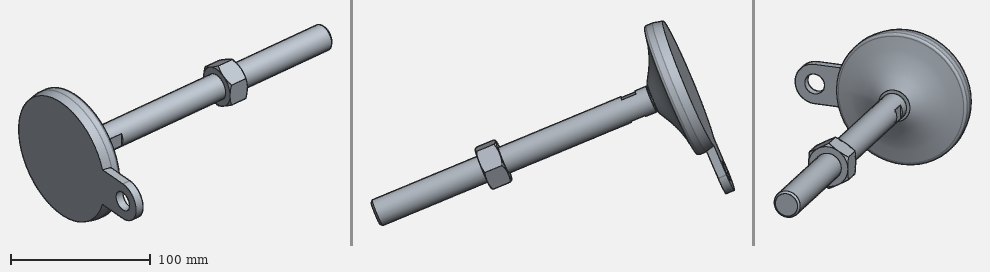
import cadquery as cq
import math


pad_radius = 50.0
pad_bottom_radius = 48.5
taper_height = 7.0
pad_height = 14.0
rim_radius = 2.0
cone_top_radius = 12.0
cone_top_height = 27.5
cone_sag = 2.2

lug_thickness = 6.5
lug_reach = 69.0
lug_radius = 15.0
lug_hole_diameter = 15.0

overall_length = 243.0
stem_radius = 10.0
stem_start = 29.0
stem_chamfer = 1.5
neck_radius = 5.0

flats_across = 17.0
flats_length = 11.0
flats_start = 37.5

nut_sides = 6
nut_across_flats = 30.0
nut_height = 16.0
nut_start = 143.5
nut_face_radius = nut_across_flats / 2
nut_chamfer_angle = 30.0


def revolve_about_y(profile):
    """Close a half profile drawn in the XY plane and turn it about the Y axis."""
    return profile.close().revolve(360, (0, 0, 0), (0, 1, 0))


def make_pad():
    """Foot pad: tapered edge, rounded rim and hollow conical flank."""
    flank_radius = pad_radius - rim_radius
    run = flank_radius - cone_top_radius
    rise = cone_top_height - pad_height
    chord = math.hypot(run, rise)
    flank_middle = (
        (flank_radius + cone_top_radius) / 2 - cone_sag * rise / chord,
        (pad_height + cone_top_height) / 2 - cone_sag * run / chord,
    )
    profile = (
        cq.Workplane("XY")
        .moveTo(0, 0)
        .lineTo(pad_bottom_radius, 0)
        .lineTo(pad_radius, taper_height)
        .lineTo(pad_radius, pad_height - rim_radius)
        .radiusArc((flank_radius, pad_height), -rim_radius)
        .threePointArc(flank_middle, (cone_top_radius, cone_top_height))
        .lineTo(0, cone_top_height)
    )
    return revolve_about_y(profile)


def make_lug():
    """Flat lug with a round end and a bolt hole, flush with the pad's underside."""
    plane = cq.Workplane("XZ")
    arm = plane.center(lug_reach / 2, 0).rect(lug_reach, 2 * lug_radius).extrude(-lug_thickness)
    end = plane.center(lug_reach, 0).circle(lug_radius).extrude(-lug_thickness)
    hole = plane.center(lug_reach, 0).circle(lug_hole_diameter / 2).extrude(-lug_thickness)
    return arm.union(end).cut(hole)


def make_stem():
    """Stem on a thin neck, with a chamfered free end."""
    profile = (
        cq.Workplane("XY")
        .moveTo(0, pad_height)
        .lineTo(neck_radius, pad_height)
        .lineTo(neck_radius, stem_start)
        .lineTo(stem_radius, stem_start)
        .lineTo(stem_radius, overall_length - stem_chamfer)
        .lineTo(stem_radius - stem_chamfer, overall_length)
        .lineTo(0, overall_length)
    )
    return revolve_about_y(profile)


def cut_wrench_flats(stem):
    """Mill two opposite flats facing -X and +X near the foot of the stem."""
    flats_middle = flats_start + flats_length / 2
    cutter_width = 2 * stem_radius
    for side in (-1, 1):
        offset = side * (flats_across + cutter_width) / 2
        cutter = cq.Workplane("XY").box(cutter_width, flats_length, cutter_width)
        stem = stem.cut(cutter.translate((offset, flats_middle, 0)))
    return stem


def make_nut():
    """Hexagon nut with flats facing -X and +X and both ends chamfered."""
    corner_radius = nut_across_flats / 2 / math.cos(math.pi / nut_sides)
    hexagon = (
        cq.Workplane("XZ", origin=(0, nut_start, 0))
        .transformed(rotate=(0, 0, 90))
        .polygon(nut_sides, 2 * corner_radius)
        .extrude(-nut_height)
    )
    nut_end = nut_start + nut_height
    drop = (corner_radius - nut_face_radius) * math.tan(math.radians(nut_chamfer_angle))
    profile = (
        cq.Workplane("XY")
        .moveTo(0, nut_start)
        .lineTo(nut_face_radius, nut_start)
        .lineTo(corner_radius, nut_start + drop)
        .lineTo(corner_radius, nut_end - drop)
        .lineTo(nut_face_radius, nut_end)
        .lineTo(0, nut_end)
    )
    return hexagon.intersect(revolve_about_y(profile))


stem = cut_wrench_flats(make_stem())
result = make_pad().union(make_lug()).union(stem).union(make_nut())